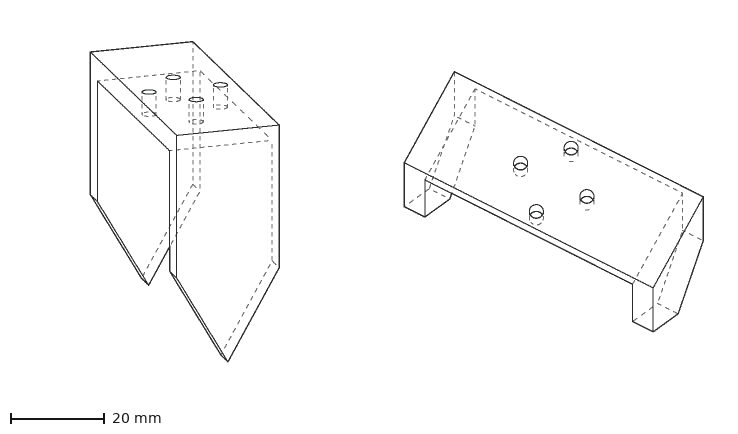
import cadquery as cq

length = 60.0
width = 23.0
height = 52.0

wall = 5.0
point_height = 20.0

hole_diameter = 3.0
hole_circle_radius = 8.0
hole_count = 4


def pointed_block():
    """Solid block whose lower end tapers to a point across the width."""
    half_width = width / 2
    outline = [
        (-half_width, height),
        (half_width, height),
        (half_width, point_height),
        (0, 0),
        (-half_width, point_height),
    ]
    return cq.Workplane("YZ").polyline(outline).close().extrude(length / 2, both=True)


def leg_gap():
    """Open space between the legs, below the top plate."""
    return cq.Workplane("XY").box(
        length - 2 * wall, width, height - wall, centered=(True, True, False)
    )


def mounting_holes():
    """Ring of through holes in the top plate, aligned with X and Y."""
    return (
        cq.Workplane("XY", origin=(0, 0, height - wall))
        .polarArray(hole_circle_radius, 0, 360, hole_count)
        .circle(hole_diameter / 2)
        .extrude(wall)
    )


result = pointed_block().cut(leg_gap()).cut(mounting_holes())